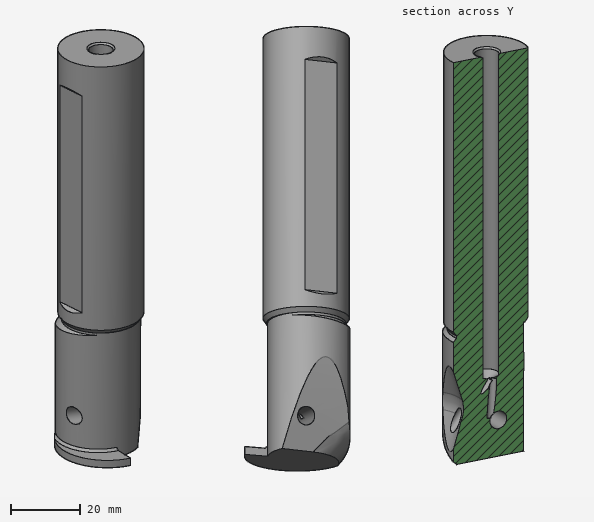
import cadquery as cq
import math

total_length = 126.5
shank_radius = 12.5
shank_bottom = 41.9
flat_half_width = 4.9
flat_depth = shank_radius - math.sqrt(shank_radius**2 - flat_half_width**2)
flat_bottom = 47.0
flat_top = 116.5

groove_radius = 11.5
groove_top = 40.5
groove_bottom = 39.7
head_shoulder = groove_bottom - (shank_radius - groove_radius)

cutter_radius = 15.3
cutter_x = cutter_radius - shank_radius
neck_radius = 12.4
neck_x = -1.3

lip_thickness = 2.4
lip_collar = 0.8
lip_edge_inner = (0, -2.2)
lip_edge_outer = (17.7, -3.9)

slope_foot = (5.7, 0)
slope_middle = (9.7, 14.3)
slope_end = (12.5, 27.8)
corner_radius = 11.9
corner_x = 0.1
corner_y = slope_foot[0] - corner_radius
corner_drift = (-0.89, 0.31)
corner_height = 15.2

pocket_radius = 10.5
pocket_y = -1.1
pocket_z = 17.2
pocket_half_height = 13.4
pocket_angle = 17
pocket_bend = 9.4

bore_radius = 3.5
bore_rim = 0.5
bore_bottom = 25.5
bore_tip = 23.5
pocket_duct_radius = 1.6
pocket_duct_start = (-0.9, -1.1, 23.3)
pocket_duct_end = (-9.1, -0.1, 13.8)
pocket_duct_run_out = 7.6
link_radius = 1.1
link_start = (1.0, -1.8, 24.5)
link_end = (-0.3, -3.3, 12.7)
cross_hole_radius = 2.7
cross_hole_front = (1.6, -12.1, 12.9)
cross_hole_rear = (3.4, 8.2, 9.9)
cross_hole_run_out = 6.3

margin = 50.6


def cylinder_between(start, end, radius, before=0.0, after=0.0):
    """Round bar from start to end, lengthened at either end."""
    first = cq.Vector(*start)
    axis = cq.Vector(*end) - first
    direction = axis.normalized()
    length = axis.Length + before + after
    bar = cq.Solid.makeCylinder(radius, length, first - direction * before, direction)
    return cq.Workplane(obj=bar)


def round_bar(center_x, radius, bottom, top):
    return cq.Workplane(origin=(center_x, 0, bottom)).circle(radius).extrude(top - bottom)


def make_shank():
    shank = round_bar(0, shank_radius, groove_top, total_length)
    bevel = (
        cq.Workplane("XZ")
        .polyline([(groove_radius, groove_top), (shank_radius, shank_bottom), (shank_radius, groove_top)])
        .close()
        .revolve(360, (0, 0, 0), (0, 1, 0))
    )
    flat_face = shank_radius - flat_depth
    flat_cut = (
        cq.Workplane("YZ")
        .polyline([
            (flat_face, flat_bottom),
            (flat_face, flat_top),
            (flat_face + margin, flat_top + margin),
            (flat_face + margin, flat_bottom - margin),
        ])
        .close()
        .extrude(shank_radius, both=True)
    )
    return shank.cut(bevel).cut(flat_cut).cut(flat_cut.mirror("XZ"))


def make_head():
    envelope_radius = cutter_x + cutter_radius
    envelope = (
        cq.Workplane("XZ")
        .polyline([
            (0, 0),
            (envelope_radius, 0),
            (envelope_radius, head_shoulder - (envelope_radius - shank_radius)),
            (groove_radius, groove_bottom),
            (groove_radius, groove_top),
            (0, groove_top),
        ])
        .close()
        .revolve(360, (0, 0, 0), (0, 1, 0))
    )
    neck = round_bar(neck_x, neck_radius, 0, groove_top)
    wide_round = round_bar(cutter_x, cutter_radius, 0, groove_top)
    return neck.intersect(wide_round).intersect(envelope)


def make_lip():
    edge_slope = (lip_edge_outer[1] - lip_edge_inner[1]) / (lip_edge_outer[0] - lip_edge_inner[0])

    def edge_y(x):
        return lip_edge_inner[1] + edge_slope * (x - lip_edge_inner[0])

    collar = (
        cq.Workplane(origin=(neck_x, 0, lip_thickness))
        .circle(neck_radius + lip_collar)
        .extrude(lip_collar, taper=45)
    )
    wide_round = round_bar(cutter_x, cutter_radius, 0, lip_thickness + lip_collar)
    blade = round_bar(cutter_x, cutter_radius, 0, lip_thickness).union(collar.intersect(wide_round))
    front_side = (
        cq.Workplane()
        .polyline([(-margin, edge_y(-margin)), (margin, edge_y(margin)), (margin, -margin), (-margin, -margin)])
        .close()
        .extrude(margin)
    )
    return blade.intersect(front_side)


def make_rear_slope_cut():
    return (
        cq.Workplane("YZ")
        .moveTo(*slope_foot)
        .threePointArc(slope_middle, slope_end)
        .lineTo(margin, slope_end[1])
        .lineTo(margin, 0)
        .close()
        .extrude(margin, both=True)
    )


def make_rear_corner_cut():
    """Region outside the rounded corner, drifting sideways with height."""
    left = corner_x - corner_radius
    back = corner_y + corner_radius
    diagonal = corner_radius * math.sqrt(0.5)
    outline = (
        cq.Workplane()
        .moveTo(left, corner_y)
        .threePointArc((corner_x - diagonal, corner_y + diagonal), (corner_x, back))
        .lineTo(corner_x, margin)
        .lineTo(-margin, margin)
        .lineTo(-margin, corner_y)
        .close()
    )
    drift = cq.Vector(corner_drift[0], corner_drift[1], 1) * corner_height
    return cq.Workplane(obj=cq.Solid.extrudeLinear(outline.val(), [], drift))


def make_pocket():
    angle = math.radians(pocket_angle)
    vertex_radius = pocket_radius + pocket_bend * (1 / math.cos(angle) - 1)
    axis_x = -shank_radius + pocket_half_height * math.tan(angle) - vertex_radius
    cone_tip = vertex_radius / math.tan(angle)
    bend_radius = pocket_radius - pocket_bend * (1 - math.cos(angle))
    bend_height = pocket_bend * math.sin(angle)
    return (
        cq.Workplane("XZ", origin=(axis_x, pocket_y, pocket_z))
        .moveTo(0, -cone_tip)
        .lineTo(bend_radius, -bend_height)
        .threePointArc((pocket_radius, 0), (bend_radius, bend_height))
        .lineTo(0, cone_tip)
        .close()
        .revolve(360, (0, 0, 0), (0, 1, 0))
    )


def make_coolant_passages():
    bore = (
        cq.Workplane("XZ")
        .polyline([
            (0, bore_tip),
            (bore_radius, bore_bottom),
            (bore_radius, total_length - bore_rim),
            (bore_radius + bore_rim, total_length),
            (0, total_length),
        ])
        .close()
        .revolve(360, (0, 0, 0), (0, 1, 0))
    )
    pocket_duct = cylinder_between(
        pocket_duct_start, pocket_duct_end, pocket_duct_radius, pocket_duct_radius, pocket_duct_run_out
    )
    cross_hole = cylinder_between(
        cross_hole_front, cross_hole_rear, cross_hole_radius, cross_hole_run_out, cross_hole_run_out
    )
    link = cylinder_between(link_start, link_end, link_radius)
    return [bore, pocket_duct, cross_hole, link]


body = make_shank().union(make_head()).union(make_lip())
body = body.cut(make_rear_slope_cut()).cut(make_rear_corner_cut()).cut(make_pocket())
for passage in make_coolant_passages():
    body = body.cut(passage)

result = body